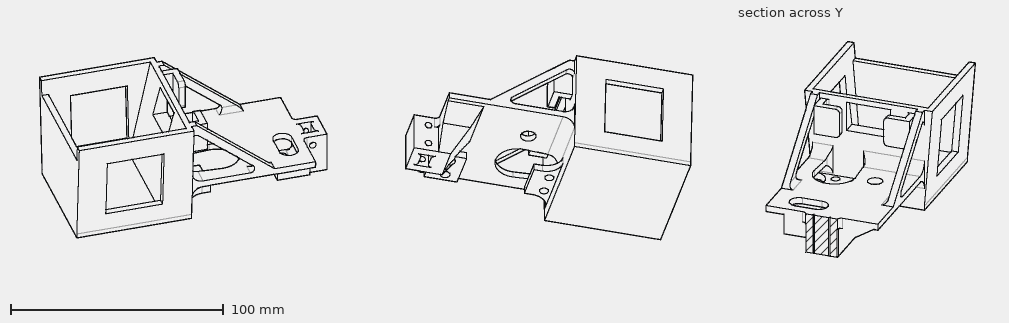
import cadquery as cq
import math


overall_length = 129.23

bin_height = 52.27
bin_depth = 56.45
bin_half_top = 32.2
base_half = 28.2
base_thickness = 2.3
floor_top = 5.0
floor_half = 25.05
wall = 3.2
back_wall_top = 2.9
back_slope_foot = 14.5
front_wall_height = 44.3

side_window_front = 42.4
side_window_bottom = 11.5
side_window_top = 41.5
back_window_width = 22.2
hook_bottom = 34.9
hook_top = 49.6

plate_top = 20.2
plate_thickness = 3.2
plate_bottom = plate_top - plate_thickness
plate_length = 60.85
plate_root_radius = 5.6

rib_thickness = 3.5
rib_foot = 40.8
rib_crest = 2.5
rib_hole_foot = 34.6
rib_hole_radius = 2.1
rib_base_fillet = 2.4
rib_base_fillet_end = 27.6

hook_reach = 8.9
hook_outer = 24.1
hook_thickness = 3.3
hook_tip_radius = 2.1
hook_root_radius = 0.8

tab_end = overall_length - bin_depth
tab_half = 8.0
tab_x = -0.35
tab_root_radius = 2.1
tab_root_height = 5.4
tab_hole_diameter = 3.2
tab_hole_y = 65.8
tab_hole_heights = (4.35, 15.25)
pocket_half = 4.15
pocket_y = 65.6
pocket_bulge = 1.7
pocket_flat_half = 2.1

lug_bottom = 6.9
lug_top = 10.5
lug_half = 9.0
lug_x = 10.2
lug_hole_spacing = 9.95
near_hole_y = 3.6
near_lug_end = 12.1
near_lug_flare = 7.9
far_hole_y = 51.6
far_lug_end = 44.8
far_lug_wall_y = 57.45
far_lug_fillet = 3.0
near_hole_diameter = 4.2
far_hole_diameter = 4.5
screw_access_radius = 4.55

large_opening_radius = 10.45
large_opening_y = 17.9
round_hole_diameter = 7.21
round_hole_x = -10.2
round_hole_y = 17.8

gusset_bottom_y = 55.0
gusset_top_y = 43.5
gusset_knee_z = 11.0
gusset_knee_x = -16.5
gusset_flare_x = -26.0


def arc_middle(radius):
    """Distance from the tangent lines of a quarter-round to the middle of its arc."""
    return radius * (1 - math.sqrt(0.5))


def box(x0, x1, y0, y1, z0, z1):
    return cq.Workplane("XY").box(x1 - x0, y1 - y0, z1 - z0, centered=False).translate((x0, y0, z0))


def cylinder(x, y, diameter, z0, z1):
    return cq.Workplane("XY", origin=(x, y, z0)).circle(diameter / 2).extrude(z1 - z0)


def make_bin():
    outer = (
        cq.Workplane("XZ")
        .moveTo(-base_half, 0)
        .lineTo(base_half, 0)
        .lineTo(base_half, base_thickness)
        .lineTo(bin_half_top, bin_height)
        .lineTo(-bin_half_top, bin_height)
        .lineTo(-base_half, base_thickness)
        .close()
        .extrude(bin_depth)
    )
    across = (
        cq.Workplane("XZ")
        .moveTo(-floor_half, floor_top)
        .lineTo(floor_half, floor_top)
        .lineTo(bin_half_top - wall, bin_height)
        .lineTo(wall - bin_half_top, bin_height)
        .close()
        .extrude(bin_depth)
    )
    along = (
        cq.Workplane("YZ")
        .moveTo(-back_slope_foot, floor_top)
        .lineTo(wall - bin_depth, floor_top)
        .lineTo(wall - bin_depth, front_wall_height)
        .lineTo(-bin_depth, front_wall_height)
        .lineTo(-bin_depth, bin_height)
        .lineTo(-back_wall_top, bin_height)
        .close()
        .extrude(bin_half_top, both=True)
    )
    side_windows = box(
        -bin_half_top, bin_half_top,
        -side_window_front, -back_slope_foot,
        side_window_bottom, side_window_top,
    )
    back_window = box(
        -back_window_width / 2, back_window_width / 2,
        -back_slope_foot, 0,
        hook_bottom, hook_top,
    )
    return outer.cut(across.intersect(along)).cut(side_windows).cut(back_window)


def plate_root(z, direction):
    """Concave fillet between the plate face at height z and the back of the bin."""
    r = plate_root_radius
    middle = arc_middle(r)
    return (
        cq.Workplane("YZ")
        .moveTo(0, z)
        .lineTo(r, z)
        .threePointArc((middle, z + direction * middle), (0, z + direction * r))
        .close()
        .extrude(base_half, both=True)
    )


def make_plate():
    plate = box(-base_half, base_half, 0, plate_length, plate_bottom, plate_top)
    return plate.union(plate_root(plate_top, 1)).union(plate_root(plate_bottom, -1))


def make_rib():
    """Rib on the -X side, with the fillet along its base."""
    rise = bin_height - plate_top
    slope = rise / (rib_foot - rib_crest)
    outline = [(0, plate_top), (rib_foot, plate_top), (rib_crest, bin_height), (0, bin_height)]
    hole_outline = [(0, plate_top), (rib_hole_foot, plate_top), (0, plate_top + slope * rib_hole_foot)]
    hole_width = rib_thickness + rib_base_fillet

    profile = cq.Workplane("YZ").polyline(outline).close().extrude(hole_width)
    hole = cq.Workplane("YZ").polyline(hole_outline).close().extrude(hole_width)
    hole = hole.edges("|X and (>Y or >Z)").fillet(rib_hole_radius)
    profile = profile.cut(hole)

    r = rib_base_fillet
    middle = arc_middle(r)
    web = box(0, rib_thickness, 0, rib_foot, plate_top, bin_height)
    base_fillet = (
        cq.Workplane("XZ", origin=(rib_thickness, rib_base_fillet_end, plate_top))
        .lineTo(r, 0)
        .threePointArc((middle, middle), (0, r))
        .close()
        .extrude(rib_base_fillet_end - rib_foot)
    )
    return profile.intersect(web.union(base_fillet)).translate((-base_half, 0, 0))


def make_hook():
    """L-shaped hook on the -X side, its tip level with the edge of the back window."""
    tip_x = -back_window_width / 2
    leg = box(-hook_outer, hook_thickness - hook_outer, 0, hook_reach, hook_bottom, hook_top)
    arm = box(-hook_outer, tip_x, hook_reach - hook_thickness, hook_reach, hook_bottom, hook_top)
    arm = arm.faces(">X").edges("|Y").fillet(hook_tip_radius)
    r = hook_root_radius
    middle = arc_middle(r)
    root = (
        cq.Workplane("XY", origin=(hook_thickness - hook_outer, 0, hook_bottom))
        .lineTo(r, 0)
        .threePointArc((middle, middle), (0, r))
        .close()
        .extrude(hook_top - hook_bottom)
    )
    return leg.union(arm).union(root)


def make_tab():
    tab = box(tab_x - tab_half, tab_x + tab_half, plate_length - wall, tab_end, 0, plate_top)
    r = tab_root_radius
    middle = arc_middle(r)
    root = (
        cq.Workplane("XY", origin=(tab_half, plate_length, plate_top - tab_root_height))
        .lineTo(r, 0)
        .threePointArc((middle, middle), (0, r))
        .close()
        .extrude(tab_root_height)
    )
    roots = root.union(root.mirror("YZ")).translate((tab_x, 0, 0))
    return tab.union(roots)


def cut_tab(body):
    """Vertical pocket with two bulging sides, and the cross holes through it."""
    bulge_y = pocket_half - pocket_bulge
    quarter = (
        cq.Workplane("XY")
        .lineTo(0, bulge_y)
        .lineTo(pocket_flat_half, bulge_y)
        .tangentArcPoint((pocket_half, pocket_half), relative=False)
        .lineTo(pocket_half, 0)
        .close()
        .extrude(plate_top)
    )
    half = quarter.union(quarter.mirror("YZ"))
    pocket = half.union(half.mirror("XZ")).translate((tab_x, pocket_y, 0))
    cross_holes = (
        cq.Workplane("YZ", origin=(tab_x, 0, 0))
        .pushPoints([(tab_hole_y, z) for z in tab_hole_heights])
        .circle(tab_hole_diameter / 2)
        .extrude(tab_half, both=True)
    )
    return body.cut(pocket).cut(cross_holes)


def make_gusset():
    """Gusset whose -X side flares out in two steps, cleared above the far lug."""
    right = tab_x + tab_half
    gusset = cq.Workplane("XY")
    sections = ((0, tab_x - tab_half), (gusset_knee_z, gusset_knee_x), (plate_bottom, gusset_flare_x))
    for z, left in sections:
        front = gusset_bottom_y + (gusset_top_y - gusset_bottom_y) * z / plate_bottom
        corners = [(left, front), (right, front), (right, plate_length), (left, plate_length)]
        outline = cq.Wire.makePolygon([cq.Vector(x, y, z) for x, y in corners], close=True)
        gusset = gusset.add(outline)
    gusset = gusset.toPending().loft(ruled=True)
    clearance = box(
        lug_x - lug_hole_spacing / 2 - screw_access_radius, lug_x + lug_half,
        gusset_top_y, far_lug_wall_y,
        lug_top, plate_bottom,
    )
    return gusset.cut(clearance)


def make_near_lug():
    """Lug on the bin, flaring into the back face."""
    r = near_lug_flare
    middle = arc_middle(r)
    return (
        cq.Workplane("XY", origin=(lug_x, 0, lug_bottom))
        .moveTo(-lug_half - r, 0)
        .threePointArc((-lug_half - middle, middle), (-lug_half, r))
        .lineTo(-lug_half, near_lug_end)
        .lineTo(lug_half, near_lug_end)
        .lineTo(lug_half, r)
        .threePointArc((lug_half + middle, middle), (lug_half + r, 0))
        .close()
        .extrude(lug_top - lug_bottom)
    )


def make_far_lug():
    """Lug hung from the plate by a wall at its far end."""
    r = far_lug_fillet
    middle = arc_middle(r)
    return (
        cq.Workplane("YZ", origin=(lug_x, 0, 0))
        .moveTo(far_lug_end, lug_bottom)
        .lineTo(plate_length, lug_bottom)
        .lineTo(plate_length, plate_top)
        .lineTo(far_lug_wall_y, plate_top)
        .lineTo(far_lug_wall_y, lug_top + r)
        .threePointArc((far_lug_wall_y - middle, lug_top + middle), (far_lug_wall_y - r, lug_top))
        .lineTo(far_lug_end, lug_top)
        .close()
        .extrude(lug_half, both=True)
    )


def screw_access(y):
    """Rounded slot above a pair of lug holes."""
    return (
        cq.Workplane("XY", origin=(lug_x, y, lug_top))
        .slot2D(lug_hole_spacing + 2 * screw_access_radius, 2 * screw_access_radius)
        .extrude(bin_height - lug_top)
    )


def near_opening():
    """Large round opening, tapering to the screw access slot by the bin."""
    run = large_opening_y - near_hole_y
    slot_centre = lug_hole_spacing / 2
    reach = math.hypot(run, slot_centre)
    lean = math.asin((large_opening_radius - screw_access_radius) / reach) - math.atan2(slot_centre, run)
    across = math.cos(lean)
    along = math.sin(lean)
    large_x = large_opening_radius * across
    large_y = large_opening_y - large_opening_radius * along
    small_x = slot_centre + screw_access_radius * across
    small_y = near_hole_y - screw_access_radius * along
    taper = (
        cq.Workplane("XY", origin=(lug_x, 0, lug_top))
        .polyline([(-small_x, small_y), (small_x, small_y), (large_x, large_y), (-large_x, large_y)])
        .close()
        .extrude(plate_top + plate_root_radius - lug_top)
    )
    circle = cylinder(lug_x, large_opening_y, 2 * large_opening_radius, plate_bottom, plate_top)
    rounded_end = screw_access(near_hole_y).intersect(
        box(-base_half, base_half, 0, near_lug_end, lug_top, plate_top + plate_root_radius)
    )
    return taper.union(circle).union(rounded_end)


def cut_lug_holes(body):
    for y, diameter in ((near_hole_y, near_hole_diameter), (far_hole_y, far_hole_diameter)):
        for side in (-1, 1):
            hole_x = lug_x + side * lug_hole_spacing / 2
            body = body.cut(cylinder(hole_x, y, diameter, 0, lug_top))
    return body


rear = make_plate().union(make_tab()).union(make_gusset())
rear = rear.cut(near_opening()).cut(screw_access(far_hole_y))
rear = rear.cut(cylinder(round_hole_x, round_hole_y, round_hole_diameter, plate_bottom, plate_top))

result = make_bin().union(rear)
for feature in (make_rib(), make_hook()):
    result = result.union(feature).union(feature.mirror("YZ"))
result = result.union(make_near_lug())
result = result.union(make_far_lug())
result = cut_lug_holes(result)
result = cut_tab(result)